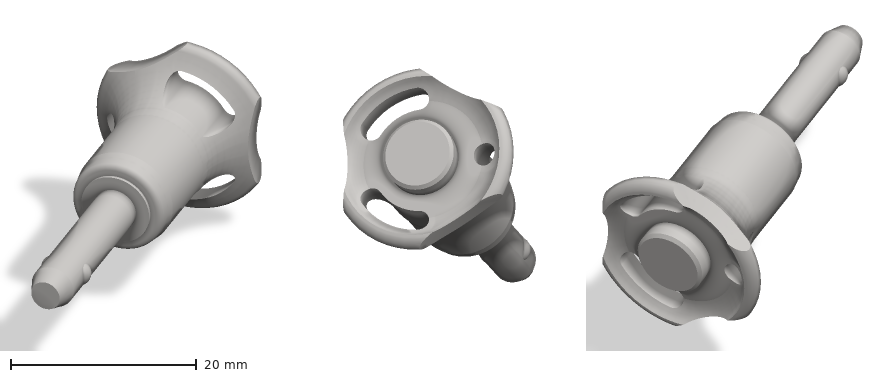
import cadquery as cq
import math

total_length = 40.4

lip_back = 0.65
lip_radius = 1.2
rim_radius = 10.18
body_radius = 5.57
flare_end = 10.0
taper_start = 18.4
body_end = 20.7
taper_end_radius = 5.15
nose_fillet = 0.65

recess_floor = 2.25
recess_floor_radius = 6.65
recess_wall_radius = 8.32
recess_wall_depth = 1.45

lobe_count = 3
lobe_pitch = 360.0 / lobe_count
valley_radius = 8.25
corner_distance = 8.7
cutter_reach = 12.1

opening_pitch_radius = 6.9
hole_radius = 1.25
slot_width = 2.3
slot_sweep = 52.0
slot_angles = (60.0, -60.0)

button_radius = 3.95
button_chamfer = 0.35
collar_end = 21.1
pin_radius = 2.42
tip_radius = 1.65
tip_length = 1.98
ball_radius = 1.37
ball_protrusion = 0.4
ball_depth = 34.65


def cylinder(radius, start, end):
    """Cylinder on the Y axis between two distances from the back."""
    plane = cq.Workplane("XZ", origin=(0, -start, 0))
    return plane.circle(radius).extrude(end - start)


def handle_blank():
    """Revolved grip: rounded lip, flared neck, cylinder and tapered nose."""
    lip_center = rim_radius - lip_radius
    lip_depth = lip_back + lip_radius

    offset = lip_center - body_radius
    span = flare_end - lip_depth
    flare_radius = (offset**2 + span**2 - lip_radius**2) / (2 * (lip_radius + offset))
    flare_center = body_radius + flare_radius
    tangent_angle = math.atan2(span, flare_center - lip_center)
    tangent_point = (
        lip_center + lip_radius * math.cos(tangent_angle),
        -lip_depth - lip_radius * math.sin(tangent_angle),
    )
    flare_middle = (
        flare_center - flare_radius * math.cos(tangent_angle / 2),
        -flare_end + flare_radius * math.sin(tangent_angle / 2),
    )

    profile = (
        cq.Workplane("XY")
        .moveTo(0, -recess_floor)
        .lineTo(recess_floor_radius, -recess_floor)
        .threePointArc((recess_wall_radius, -recess_wall_depth), (lip_center, -lip_back))
        .threePointArc((rim_radius, -lip_depth), tangent_point)
        .threePointArc(flare_middle, (body_radius, -flare_end))
        .lineTo(body_radius, -taper_start)
        .lineTo(taper_end_radius, -body_end)
        .lineTo(0, -body_end)
        .close()
    )
    blank = profile.revolve(360, (0, 0, 0), (0, 1, 0))
    return blank.faces("<Y").edges().fillet(nose_fillet)


def scallop_cutter():
    """Block on the +X side whose inner face bulges towards the axis."""
    corner_height = math.sqrt(rim_radius**2 - corner_distance**2)
    sagitta = corner_distance - valley_radius
    arc_radius = (corner_height**2 + sagitta**2) / (2 * sagitta)
    arc_center = valley_radius + arc_radius
    half_height = rim_radius
    end_x = arc_center - math.sqrt(arc_radius**2 - half_height**2)
    outer_x = valley_radius + cutter_reach
    return (
        cq.Workplane("XZ")
        .moveTo(end_x, -half_height)
        .threePointArc((valley_radius, 0), (end_x, half_height))
        .lineTo(outer_x, half_height)
        .lineTo(outer_x, -half_height)
        .close()
        .extrude(body_end)
    )


def slot_cutter(center_angle):
    """Curved slot with round ends, concentric with the handle."""

    def polar(radius, angle):
        radians = math.radians(angle)
        return radius * math.cos(radians), radius * math.sin(radians)

    start = center_angle - slot_sweep / 2
    end = center_angle + slot_sweep / 2
    inner = opening_pitch_radius - slot_width / 2
    outer = opening_pitch_radius + slot_width / 2
    cap_angle = math.degrees(slot_width / 2 / opening_pitch_radius)
    return (
        cq.Workplane("XZ")
        .moveTo(*polar(inner, start))
        .threePointArc(polar(inner, center_angle), polar(inner, end))
        .threePointArc(polar(opening_pitch_radius, end + cap_angle), polar(outer, end))
        .threePointArc(polar(outer, center_angle), polar(outer, start))
        .threePointArc(polar(opening_pitch_radius, start - cap_angle), polar(inner, start))
        .close()
        .extrude(flare_end)
    )


def make_handle():
    handle = handle_blank()
    for index in range(lobe_count):
        handle = handle.cut(scallop_cutter().rotate((0, 0, 0), (0, 1, 0), index * lobe_pitch))
    for angle in slot_angles:
        handle = handle.cut(slot_cutter(angle))
    hole = cylinder(hole_radius, 0, flare_end).translate((-opening_pitch_radius, 0, 0))
    return handle.cut(hole)


def make_button():
    return cylinder(button_radius, 0, recess_floor).faces(">Y").chamfer(button_chamfer)


def make_pin():
    profile = (
        cq.Workplane("XY")
        .moveTo(0, -body_end)
        .lineTo(pin_radius, -body_end)
        .lineTo(pin_radius, -(total_length - tip_length))
        .lineTo(tip_radius, -total_length)
        .lineTo(0, -total_length)
        .close()
    )
    pin = profile.revolve(360, (0, 0, 0), (0, 1, 0))
    ball_offset = pin_radius + ball_protrusion - ball_radius
    for side in (-1, 1):
        ball = cq.Workplane("XY").sphere(ball_radius)
        pin = pin.union(ball.translate((side * ball_offset, -ball_depth, 0)))
    return pin


collar = cylinder(button_radius, body_end, collar_end)
result = make_handle().union(make_button()).union(collar).union(make_pin())